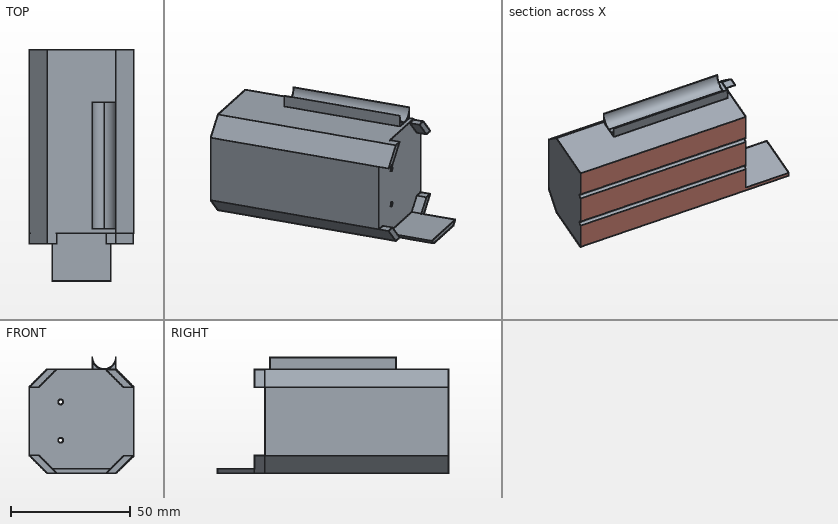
import cadquery as cq
import math

total_length = 97.0
housing_width = 43.97
housing_height = 43.7
housing_length = 77.0
corner_cut = 7.6
back_y = total_length
front_y = back_y - housing_length

lug_length = 4.4
lug_span = 43.7
lug_band = 4.07
right_step = housing_width - lug_span
right_cut = corner_cut - right_step
top_step = 0.36

tongue_thickness = 2.0
tongue_bottom_left = corner_cut + lug_band
tongue_bottom_right = lug_span - right_cut - lug_band

hole_diameter = 2.0
hole_x = 13.25
hole_heights = (13.85, 29.9)

cradle_radius = 4.91
cradle_length = 53.0
cradle_setback = 22.0
cradle_back_y = back_y - cradle_setback
cradle_center_x = housing_width - corner_cut - cradle_radius


def extrude_y(points, start_y, end_y):
    """Extrude an X-Z outline from start_y to end_y (start_y is nearer the front)."""
    outline = cq.Workplane("XZ", origin=(0, end_y, 0)).polyline(points).close()
    return outline.extrude(end_y - start_y)


def make_block():
    right = housing_width
    top = housing_height
    points = [
        (corner_cut, 0),
        (right - corner_cut, 0),
        (right, right_cut),
        (right, top - corner_cut),
        (right - corner_cut, top),
        (corner_cut, top),
        (0, top - corner_cut),
        (0, corner_cut),
    ]
    return extrude_y(points, front_y, back_y)


def make_lug(edge_x, inward, edge_z, vertical, cut):
    """Sloped band across one corner; inward and vertical are the signs pointing to the middle."""
    points = [
        (edge_x + inward * cut, edge_z),
        (edge_x + inward * (cut + lug_band), edge_z),
        (edge_x + inward * lug_band, edge_z + vertical * cut),
        (edge_x, edge_z + vertical * cut),
    ]
    return extrude_y(points, front_y - lug_length, front_y)


def make_lugs():
    return [
        make_lug(0, 1, 0, 1, corner_cut),
        make_lug(0, 1, housing_height, -1, corner_cut),
        make_lug(lug_span, -1, 0, 1, right_cut),
        make_lug(lug_span, -1, housing_height - top_step, -1, right_cut),
    ]


def make_tongue():
    points = [
        (tongue_bottom_left, 0),
        (tongue_bottom_right, 0),
        (tongue_bottom_right + tongue_thickness, tongue_thickness),
        (tongue_bottom_left - tongue_thickness, tongue_thickness),
    ]
    return extrude_y(points, 0, front_y)


def make_holes():
    return (
        cq.Workplane("XZ", origin=(0, back_y, 0))
        .pushPoints([(hole_x, z) for z in hole_heights])
        .circle(hole_diameter / 2)
        .extrude(housing_length)
    )


def make_housing():
    body = make_block()
    for lug in make_lugs():
        body = body.union(lug)
    return body.union(make_tongue()).cut(make_holes())


def make_rail(side):
    """One cradle rail: a square corner hollowed by a quarter circle; side is -1 for left, +1 for right."""
    outer_x = cradle_center_x + side * cradle_radius
    diagonal = cradle_radius * math.sqrt(0.5)
    axis_z = housing_height + cradle_radius
    arc_middle = (cradle_center_x + side * diagonal, axis_z - diagonal)
    return (
        cq.Workplane("XZ", origin=(0, cradle_back_y, 0))
        .moveTo(cradle_center_x, housing_height)
        .lineTo(outer_x, housing_height)
        .lineTo(outer_x, axis_z)
        .threePointArc(arc_middle, (cradle_center_x, housing_height))
        .close()
        .extrude(cradle_length)
    )


housing = make_housing()
rails = [make_rail(side) for side in (-1, 1)]

result = cq.Compound.makeCompound([housing.val(), *[rail.val() for rail in rails]])